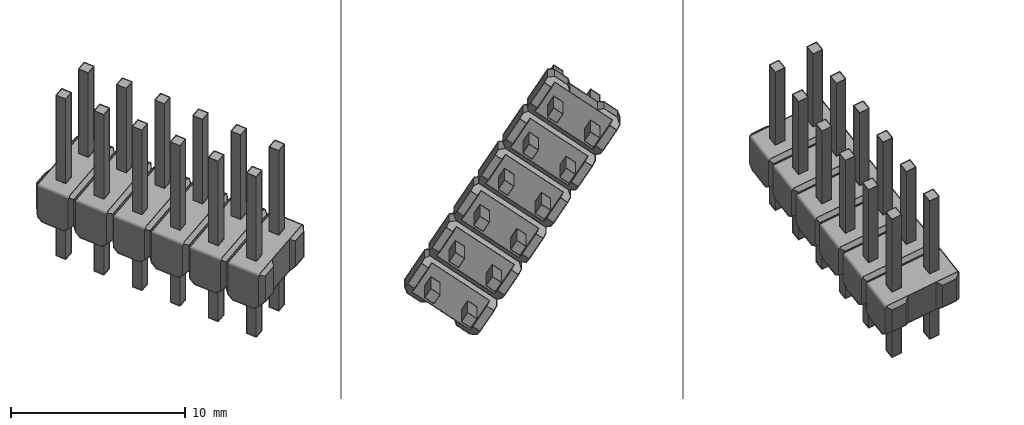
import cadquery as cq

columns = 6
rows = 2
overall_length = 15.24
pitch = overall_length / columns

pin_width = 0.64
pin_length = 12.7
pin_tail = 3.2

body_depth = 5.0
body_height = 2.8
foot_height = 0.3
foot_depth = 0.5
top_rounding = 0.2

bevel_inset = 0.25
long_bevel_run = 0.34
short_bevel_run = 0.2
sole_bevel = 0.55

notch_floor = pitch - pin_width
notch_flare = 0.29
notch_mouth = notch_floor + 2 * notch_flare


def front_prism():
    """Block outline in XZ: small bevels at the top, larger ones down to the feet."""
    half = pitch / 2
    return (
        cq.Workplane("XZ")
        .moveTo(half - sole_bevel, 0)
        .lineTo(half, sole_bevel)
        .lineTo(half, body_height - bevel_inset)
        .lineTo(half - bevel_inset, body_height)
        .lineTo(bevel_inset - half, body_height)
        .lineTo(-half, body_height - bevel_inset)
        .lineTo(-half, sole_bevel)
        .lineTo(sole_bevel - half, 0)
        .close()
        .extrude(body_depth / 2, both=True)
    )


def plan_prism():
    """Block outline in XY, with its four upright edges bevelled, longer at -X."""
    half_x = pitch / 2
    half_y = body_depth / 2
    return (
        cq.Workplane("XY")
        .moveTo(half_x - bevel_inset, -half_y)
        .lineTo(half_x, short_bevel_run - half_y)
        .lineTo(half_x, half_y - short_bevel_run)
        .lineTo(half_x - bevel_inset, half_y)
        .lineTo(bevel_inset - half_x, half_y)
        .lineTo(-half_x, half_y - long_bevel_run)
        .lineTo(-half_x, long_bevel_run - half_y)
        .lineTo(bevel_inset - half_x, -half_y)
        .close()
        .extrude(body_height)
    )


def side_prism():
    """Block outline in YZ: rounded top edges and a foot under the front and back."""
    bar = (
        cq.Workplane("XY")
        .box(pitch, body_depth, body_height, centered=(True, True, False))
        .edges("|X and >Z")
        .fillet(top_rounding)
    )
    gap = cq.Workplane("XY").box(
        pitch, body_depth - 2 * foot_depth, foot_height, centered=(True, True, False)
    )
    return bar.cut(gap)


def end_notch(side):
    """Flared upright notch in the end face at side = -1 or +1."""
    face_x = side * overall_length / 2
    floor_x = face_x - side * bevel_inset
    return (
        cq.Workplane("XY")
        .moveTo(face_x, -notch_mouth / 2)
        .lineTo(floor_x, -notch_floor / 2)
        .lineTo(floor_x, notch_floor / 2)
        .lineTo(face_x, notch_mouth / 2)
        .close()
        .extrude(body_height)
    )


block = front_prism().intersect(plan_prism()).intersect(side_prism())
mirrored_block = block.mirror("YZ")
pin = (
    cq.Workplane("XY")
    .box(pin_width, pin_width, pin_length, centered=(True, True, False))
    .translate((0, 0, -pin_tail))
)

column_places = [(column - (columns - 1) / 2) * pitch for column in range(columns)]
row_places = [(row - (rows - 1) / 2) * pitch for row in range(rows)]

housing = cq.Workplane("XY")
for column, x in enumerate(column_places):
    column_block = block if column % 2 == 0 else mirrored_block
    housing = housing.union(column_block.translate((x, 0, 0)))

for side in (-1, 1):
    housing = housing.cut(end_notch(side))

result = housing
for x in column_places:
    for y in row_places:
        result = result.union(pin.translate((x, y, 0)))